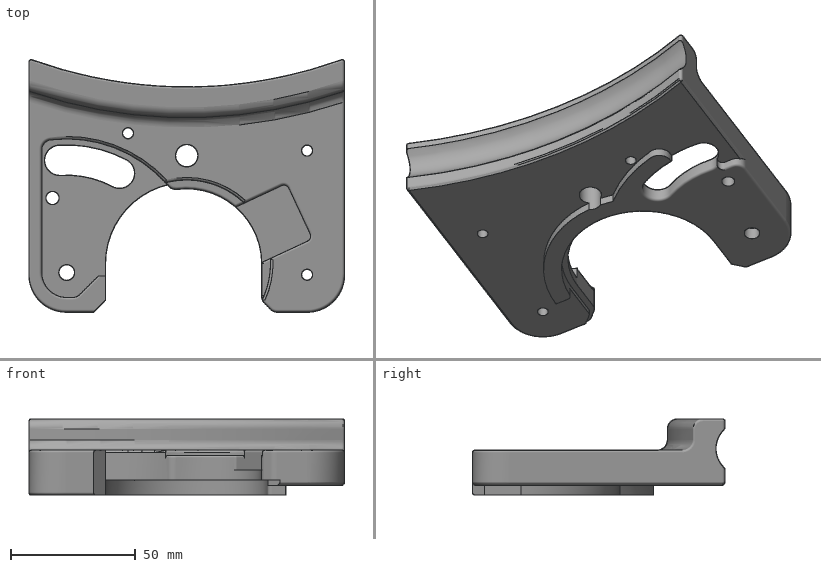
import cadquery as cq
import math

width = 126.4
half_width = width / 2
depth = 101.1
height = 30.5
plate_bottom = 3.8
plate_top = 18.0
corner_radius = 15.0
edge_size = 1.0

rear_radius = 180.8
rear_center_y = depth - edge_size + math.sqrt((rear_radius + edge_size) ** 2 - (half_width - edge_size) ** 2)
rear_corner_y = rear_center_y - math.sqrt(rear_radius**2 - half_width**2)
ridge_thickness = 12.3
ridge_fillet = 4.0
groove_radius = 11.0
groove_depth = 3.8
groove_z = 18.6

bore_y = 19.5
bore_radius = 32.5
lip_radius = 30.0
mouth_chamfer = 4.8
lip_corner_fillet = 3.8
lip_end_fillet = 3.8
lip_step_radius = 33.5
lip_step_depth = 2.0
lip_step_left = -17.7
lip_top = plate_top - lip_step_depth

pivot_x = -48.0
pivot_y = 15.9
pivot = (pivot_x, pivot_y)
pivot_diameter = 6.2
pocket_floor = 6.0
pocket_radius = 53.5
pocket_end_radius = 10.0
pocket_corner_fillet = 4.0
pocket_left = pivot_x - pocket_end_radius
pocket_front = pivot_y - pocket_end_radius
pocket_ramp_x = -35.4
pocket_ramp_y = 14.5
slot_radius = 45.0
slot_width = 12.0
slot_start_angle = 62.0
slot_end_angle = 93.6

square_angle = 25.0
square_width = 24.5
square_reach = 49.8
square_floor = 10.0
square_corner_fillet = 2.3
square_mouth_fillet = 1.0

pad_radius = 58.4
pad_outer_left = -39.2
pad_inner_left = -54.0
pad_inner_land_y = 58.1
pad_shelf_y = 52.6
pad_ring_radius = 39.7
pad_tip_fillet = 5.0
pad_shelf_fillet = 2.0
pad_side_fillet = 4.0
pad_end_fillet = 1.9

corner_hole_x = half_width - corner_radius
small_hole = 4.3
through_holes = [
    (0, 62.7, 8.8),
    (-23.5, 71.7, small_hole),
    (corner_hole_x, 64.7, small_hole),
    (corner_hole_x, corner_radius, small_hole),
    (-53.7, 45.8, 5.2),
    (pivot_x, pivot_y, pivot_diameter),
]

match_tolerance = 0.01


def prism(sketch, bottom, top):
    """Extrude a closed XY outline between two heights."""
    return sketch.extrude(top - bottom).translate((0, 0, bottom))


def cylinder(x, y, radius, bottom, top):
    return prism(cq.Workplane("XY").center(x, y).circle(radius), bottom, top)


def at_polar(center, radius, angle):
    """Point at a radius and an angle in degrees from a plan center."""
    turn = math.radians(angle)
    return (center[0] + radius * math.cos(turn), center[1] + radius * math.sin(turn))


def block(x0, x1, y0, y1, bottom, top):
    solid = cq.Workplane("XY").box(x1 - x0, y1 - y0, top - bottom, centered=False)
    return solid.translate((x0, y0, bottom))


def is_close(a, b):
    return math.isclose(a, b, abs_tol=match_tolerance)


def edges_near(x, y, reach=1.3):
    """Selector for upright edges close to a point of the plan."""
    return cq.selectors.BoxSelector((x - reach, y - reach, -height), (x + reach, y + reach, 2 * height))


def plan_prism(bottom, top):
    """Full plan of the part: straight sides, concave rear edge, rounded front corners."""
    outline = (
        cq.Workplane("XY")
        .moveTo(-half_width, 0)
        .lineTo(half_width, 0)
        .lineTo(half_width, rear_corner_y)
        .threePointArc((0, rear_center_y - rear_radius), (-half_width, rear_corner_y))
        .close()
    )
    return prism(outline, bottom, top).edges("|Z and <Y").fillet(corner_radius)


def make_ridge():
    """Full turn of the ridge section, with a rounded crest and foot, about the rear edge's center."""
    wall_y = rear_center_y - rear_radius - ridge_thickness
    bulge = ridge_fillet * (1 - math.sqrt(0.5))
    foot_y = wall_y - ridge_fillet
    crest_y = wall_y + ridge_fillet
    profile = (
        cq.Workplane("YZ")
        .moveTo(foot_y, plate_bottom)
        .lineTo(foot_y, plate_top)
        .threePointArc((wall_y - bulge, plate_top + bulge), (wall_y, plate_top + ridge_fillet))
        .lineTo(wall_y, height - ridge_fillet)
        .threePointArc((wall_y + bulge, height - bulge), (crest_y, height))
        .lineTo(depth + ridge_thickness, height)
        .lineTo(depth + ridge_thickness, plate_bottom)
        .close()
    )
    return profile.revolve(360, (rear_center_y, 0), (rear_center_y, 1))


def make_groove():
    """Round groove running along the concave rear face."""
    center_y = rear_center_y - rear_radius + groove_radius - groove_depth
    profile = cq.Workplane("YZ").center(center_y, groove_z).circle(groove_radius)
    to_axis = rear_center_y - center_y
    return profile.revolve(360, (to_axis, 0), (to_axis, 1))


def make_mouth(right_radius, bottom, top):
    """Round-ended opening; its left side is always the bore, its right side may be narrower."""
    channel = cq.Workplane("XY").polyline([
        (-bore_radius - mouth_chamfer, 0),
        (-bore_radius, mouth_chamfer),
        (-bore_radius, bore_y),
        (right_radius, bore_y),
        (right_radius, mouth_chamfer),
        (right_radius + mouth_chamfer, 0),
    ]).close()
    return prism(channel, bottom, top).union(cylinder(0, bore_y, right_radius, bottom, top))


def lip_end_angle():
    """Angle about the pivot at which the curved pocket wall meets the lip."""
    span_x = -pivot_x
    span_y = bore_y - pivot_y
    span = math.hypot(span_x, span_y)
    along = (span**2 + pocket_radius**2 - lip_radius**2) / (2 * span)
    return math.degrees(math.atan2(span_y, span_x) + math.acos(along / pocket_radius))


def make_lever_pocket():
    end_angle = lip_end_angle()
    arc_middle = at_polar(pivot, pocket_radius, (90 + end_angle) / 2)
    arc_end = at_polar(pivot, pocket_radius, end_angle)
    left_top_y = pivot_y + math.sqrt(pocket_radius**2 - pocket_end_radius**2)
    ramp_foot_x = pocket_ramp_x - (pocket_ramp_y - pocket_front)
    outline = (
        cq.Workplane("XY")
        .moveTo(pocket_left, left_top_y)
        .threePointArc(arc_middle, arc_end)
        .lineTo(0, bore_y)
        .lineTo(0, pocket_ramp_y)
        .lineTo(pocket_ramp_x, pocket_ramp_y)
        .lineTo(ramp_foot_x, pocket_front)
        .lineTo(pivot_x, pocket_front)
        .threePointArc(at_polar(pivot, pocket_end_radius, 225), (pocket_left, pivot_y))
        .close()
    )
    pocket = prism(outline, pocket_floor, plate_top)
    for x, y in [(pocket_left, left_top_y), (ramp_foot_x, pocket_front)]:
        pocket = pocket.edges("|Z").edges(edges_near(x, y)).fillet(pocket_corner_fillet)
    return pocket


def make_square_pocket():
    """Square pocket and the plan point where its rear wall meets the lip."""
    half = square_width / 2
    pocket = block(0, square_reach, -half, half, square_floor, plate_top)
    pocket = pocket.edges("|Z and >X").fillet(square_corner_fillet)
    pocket = pocket.rotate((0, 0, 0), (0, 0, 1), square_angle).translate((0, bore_y, 0))
    mouth_angle = square_angle + math.degrees(math.asin(half / lip_radius))
    return pocket, at_polar((0, bore_y), lip_radius, mouth_angle)


def make_lip_step():
    disk = cylinder(0, bore_y, lip_step_radius, lip_top, plate_top)
    return disk.intersect(block(lip_step_left, half_width, 0, depth, 0, height))


def make_straight_lip_rounding():
    """Cutter that rounds the straight upper edge of the lip, back from where the step runs out."""
    inside_x = lip_radius + edge_size
    round_z = lip_top - edge_size
    front_y = bore_y - math.sqrt(lip_step_radius**2 - inside_x**2)
    rear_y = bore_y + edge_size
    strip = block(lip_radius, inside_x, front_y, rear_y, round_z, lip_top)
    rod = cq.Workplane("XZ").center(inside_x, round_z).circle(edge_size).extrude(-depth)
    return strip.cut(rod)


def make_slot():
    outer = slot_radius + slot_width / 2
    inner = slot_radius - slot_width / 2
    middle_angle = (slot_start_angle + slot_end_angle) / 2
    outline = (
        cq.Workplane("XY")
        .moveTo(*at_polar(pivot, outer, slot_start_angle))
        .threePointArc(at_polar(pivot, outer, middle_angle), at_polar(pivot, outer, slot_end_angle))
        .tangentArcPoint(at_polar(pivot, inner, slot_end_angle), relative=False)
        .threePointArc(at_polar(pivot, inner, middle_angle), at_polar(pivot, inner, slot_start_angle))
        .tangentArcPoint(at_polar(pivot, outer, slot_start_angle), relative=False)
        .close()
    )
    return prism(outline, 0, height)


def make_pad():
    """Left slab, lands on both sides of the slot and a half ring around the mouth."""
    top = pocket_floor
    slab = block(-half_width, 0, 0, pad_shelf_y, 0, top)
    slab = slab.edges("|Z and <X and <Y").fillet(corner_radius)
    slab = slab.edges("|Z and <X and >Y").fillet(pad_side_fillet)
    slab = slab.faces("<X").edges("<Z").fillet(edge_size)
    inner_land = block(pad_inner_left, pad_outer_left, bore_y, pad_inner_land_y, 0, top)
    outer_land = cylinder(pivot_x, pivot_y, pad_radius, 0, top)
    outer_land = outer_land.intersect(block(pad_outer_left, half_width, bore_y, depth, 0, top))
    ring = cylinder(0, bore_y, pad_ring_radius, 0, top)
    ring = ring.intersect(block(-half_width, half_width, 0, depth, 0, top))
    ring = ring.cut(block(0, half_width, 0, bore_y, 0, top))
    pad = slab.union(inner_land).union(outer_land).union(ring).cut(make_mouth(bore_radius, 0, top))
    outer_corner_y = pivot_y + math.sqrt(pad_radius**2 - (pad_outer_left - pivot_x) ** 2)
    for x, y, radius in [
        (pad_outer_left, outer_corner_y, pad_tip_fillet),
        (bore_radius, bore_y, pad_end_fillet),
        (pad_inner_left, pad_shelf_y, pad_shelf_fillet),
    ]:
        pad = pad.edges("|Z").edges(edges_near(x, y)).fillet(radius)
    pad = pad.cut(make_slot())
    rim = [edge for edge in pad.faces("<Z").edges().vals() if is_slot_rim(edge)]
    return pad.newObject(rim).fillet(edge_size)


def is_slot_rim(edge):
    """True for the slot's outer arc."""
    middle = edge.positionAt(0.5)
    from_pivot = math.hypot(middle.x - pivot_x, middle.y - pivot_y)
    return edge.geomType() == "CIRCLE" and is_close(from_pivot, slot_radius + slot_width / 2)


def is_rounded(edge):
    """True for the upper outer edges, the ridge ends and the pocket and lip edges that get rounded."""
    box = edge.BoundingBox()
    at_rear_corner = box.ymax > rear_corner_y - edge_size / 2
    at_bottom = is_close(box.zmax, plate_bottom)
    if is_close(box.xlen, 0) and is_close(abs(box.center.x), half_width):
        upright_front = is_close(box.ylen, 0) and not at_rear_corner
        return not at_bottom and not upright_front
    if not is_close(box.zlen, 0):
        return False
    if is_close(box.zmin, plate_top):
        bounds_left_end = is_close(box.xmin, -bore_radius) or is_close(box.xmax, -bore_radius)
        is_ridge_foot = box.xlen > width / 2 + bore_radius
        return not bounds_left_end and not is_ridge_foot
    if is_close(box.zmin, lip_top):
        middle = edge.positionAt(0.5)
        on_step_wall = is_close(math.hypot(middle.x, middle.y - bore_y), lip_step_radius)
        on_straight_lip = box.xlen < edge_size / 2
        return not on_step_wall and not on_straight_lip
    return is_close(box.zmin, height) and at_rear_corner


def make_body():
    ridge = make_ridge().intersect(plan_prism(plate_bottom, height))
    body = plan_prism(plate_bottom, plate_top).union(ridge)
    body = body.edges("|Z and >Y").fillet(edge_size)
    body = body.faces("<Z").edges().chamfer(edge_size)
    body = body.cut(make_mouth(lip_radius, plate_bottom, plate_top))
    for x, y in [(lip_radius, mouth_chamfer), (lip_radius + mouth_chamfer, 0)]:
        body = body.edges("|Z").edges(edges_near(x, y)).fillet(lip_corner_fillet)

    body = body.cut(make_lever_pocket())
    lip_end = at_polar(pivot, pocket_radius, lip_end_angle())
    body = body.edges("|Z").edges(edges_near(*lip_end)).fillet(lip_end_fillet)

    square_pocket, square_mouth = make_square_pocket()
    body = body.cut(square_pocket)
    body = body.edges("|Z").edges(edges_near(*square_mouth)).fillet(square_mouth_fillet)
    body = body.cut(make_lip_step())

    rounded_edges = [edge for edge in body.edges().vals() if is_rounded(edge)]
    body = body.newObject(rounded_edges).fillet(edge_size)
    return body.cut(make_straight_lip_rounding()).cut(make_groove())


result = make_body().union(make_pad())
result = result.cut(make_mouth(bore_radius, 0, pocket_floor)).cut(make_slot())
for hole_x, hole_y, hole_diameter in through_holes:
    result = result.cut(cylinder(hole_x, hole_y, hole_diameter / 2, 0, height))